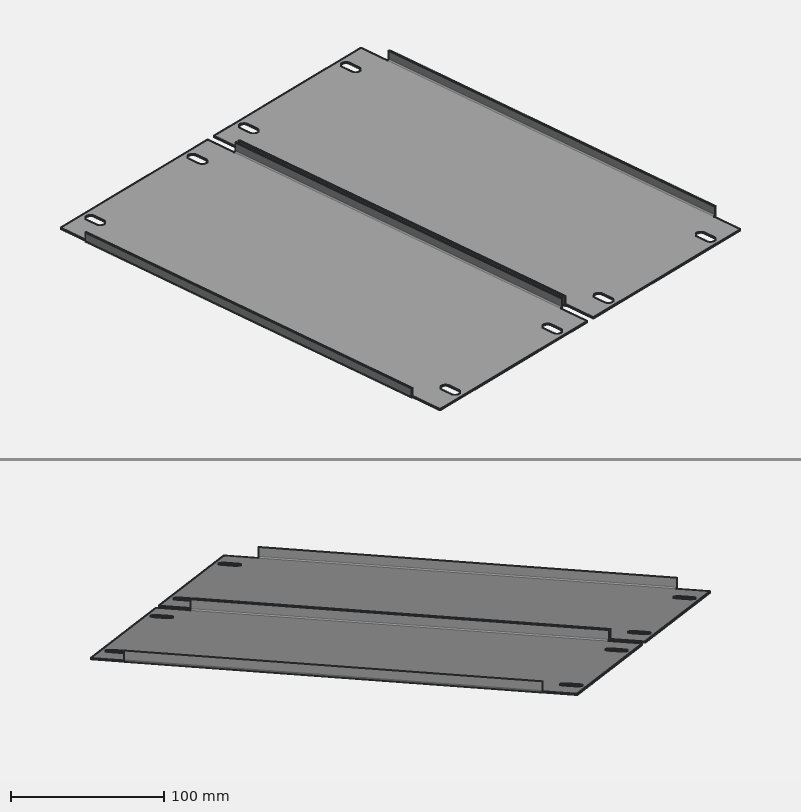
import cadquery as cq

panel_length = 332.0
pair_depth = 298.0

sheet_thickness = 1.1
bend_inner_radius = 0.93
bend_outer_radius = bend_inner_radius + sheet_thickness
flange_length = 285.5
flange_rise = 6.0
flange_height = bend_outer_radius + flange_rise

panel_pitch = 150.0
panel_depth = pair_depth - panel_pitch
plate_depth = panel_depth - 2 * bend_outer_radius

slot_length = 15.3
slot_width = 7.0
slot_spacing_x = 310.5
slot_spacing_y = 100.0


def make_plate():
    """Flat sheet with a mounting slot near each corner."""
    plate = cq.Workplane("XY").box(
        panel_length, plate_depth, sheet_thickness, centered=(True, True, False)
    )
    return (
        plate.faces(">Z").workplane()
        .rarray(slot_spacing_x, slot_spacing_y, 2, 2)
        .slot2D(slot_length, slot_width)
        .cutThruAll()
    )


def make_flange():
    """Upturned lip with its rounded bend, on the +Y edge of the plate."""
    bend_start = plate_depth / 2
    outer_face = panel_depth / 2
    inner_face = outer_face - sheet_thickness
    return (
        cq.Workplane("YZ")
        .moveTo(bend_start, 0)
        .radiusArc((outer_face, bend_outer_radius), -bend_outer_radius)
        .lineTo(outer_face, flange_height)
        .lineTo(inner_face, flange_height)
        .lineTo(inner_face, bend_outer_radius)
        .radiusArc((bend_start, sheet_thickness), bend_inner_radius)
        .close()
        .extrude(flange_length / 2, both=True)
    )


def make_panel(center_y):
    """One panel: a slotted plate with a flange along both long edges."""
    flange = make_flange()
    panel = make_plate().union(flange).union(flange.mirror("XZ"))
    return panel.translate((0, center_y, 0))


panels = [make_panel(side * panel_pitch / 2) for side in (-1, 1)]

result = cq.Compound.makeCompound([panel.val() for panel in panels])